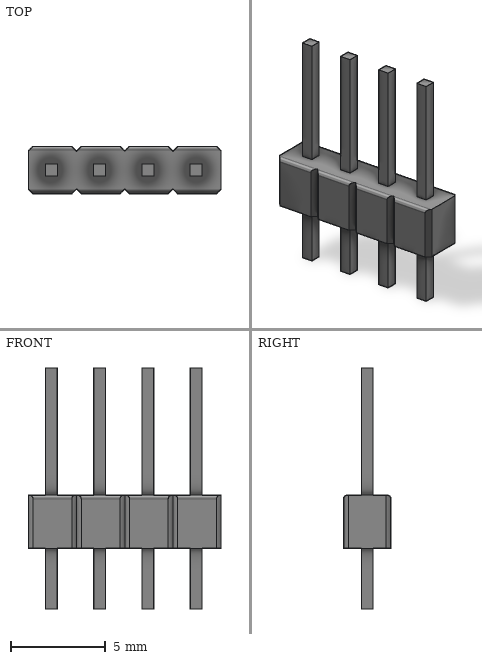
import cadquery as cq

pin_count = 4
pitch = 2.54
housing_length = pin_count * pitch
housing_width = 2.5
housing_height = 2.8
groove_depth = 0.25
top_edge_radius = 0.2

pin_size = 0.63
pin_length = 12.7
pin_below_housing = 3.2
pin_shift_x = -0.05


def make_housing():
    """Bar standing on Z = 0 with rounded long top edges and V-grooves between segments."""
    bar = (
        cq.Workplane("XY")
        .box(housing_length, housing_width, housing_height, centered=(True, True, False))
        .edges("|X and >Z")
        .fillet(top_edge_radius)
    )
    return bar.cut(make_grooves())


def make_grooves():
    """Upright diamond bars at every segment boundary; the end ones chamfer the corners."""
    boundaries = [i * pitch - housing_length / 2 for i in range(pin_count + 1)]
    centres = [(x, side * housing_width / 2) for x in boundaries for side in (-1, 1)]
    return (
        cq.Workplane("XY")
        .pushPoints(centres)
        .polygon(4, 2 * groove_depth)
        .extrude(housing_height)
    )


def make_pins():
    """Square pins running through the housing, one per segment."""
    first_pin_x = (pitch - housing_length) / 2 + pin_shift_x
    centres = [(first_pin_x + i * pitch, 0) for i in range(pin_count)]
    return (
        cq.Workplane("XY")
        .workplane(offset=-pin_below_housing)
        .pushPoints(centres)
        .rect(pin_size, pin_size)
        .extrude(pin_length)
    )


result = make_housing().union(make_pins())